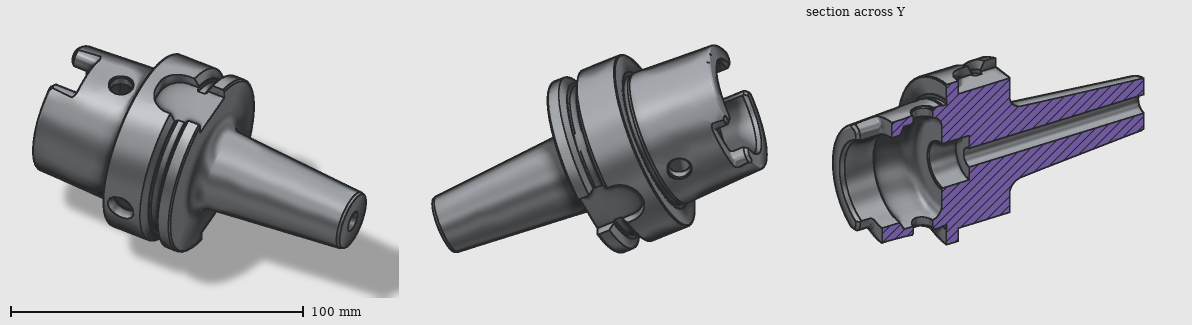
import cadquery as cq
import math


length = 111.9

nose_radius = 22.7
nose_round = 1.1
taper_end_x = 29.8
taper_end_radius = 24.1
relief_start_x = 30.8
relief_radius = 23.7
face_relief_radius = 25.2
face_relief_depth = 0.3

flange_x = 31.9
flange_end_x = 57.7
flange_radius = 63.0 / 2
flange_front_chamfer = 0.3
flange_back_chamfer = 0.6

groove_centre_x = 49.7
groove_floor_width = 3.6
groove_mouth_width = 6.9
groove_wall_depth = 2.9
groove_floor_radius = 27.4
groove_floor_fillet = 0.6

neck_root_radius = 14.4
neck_tip_radius = 10.2
neck_fillet = 5.0
tip_chamfer_length = 1.0
tip_chamfer_depth = 0.3

cavity_mouth_radius = 17.6
cavity_lead_in = 1.7
cavity_radius = 17.0
clamp_shoulder_x = 13.3
clamp_shoulder_angle = 30.0
undercut_radius = 20.0
cavity_depth = 30.1
cavity_floor_fillet = 4.4
socket_radius = 8.6
socket_depth = 11.2
socket_chamfer = 0.5
through_hole_radius = 3.6

slot_half_width = 6.2
slot_shoulder_z = 20.6
slot_shoulder_round = 3.1
slot_floor_fillet = 1.2
slot_nose_chamfer = 1.1
upper_slot_depth = 10.0
lower_slot_depth = 6.0

cross_hole_x = 22.6
cross_hole_radius = 3.8
cross_hole_chamfer = 0.5

keyway_x = 36.9
keyway_flat_z = 26.4
keyway_corner = 7.8
upper_keyway_width = 17.9
lower_keyway_width = 15.9

pocket_x = 38.8
pocket_radius = 4.9
pocket_depth = 4.6
pocket_floor_chamfer = 0.3


def turned(points):
    """Solid of revolution about X of a closed (x, radius) outline."""
    return cq.Workplane("XY").polyline(points).close().revolve(360, (0, 0, 0), (1, 0, 0))


def outer_body():
    """Hollow-taper shank, flange and neck before any cuts."""
    shank_and_flange = turned([
        (0, 0),
        (0, nose_radius),
        (taper_end_x, taper_end_radius),
        (relief_start_x, relief_radius),
        (flange_x + face_relief_depth, relief_radius),
        (flange_x + face_relief_depth, face_relief_radius),
        (flange_x, face_relief_radius),
        (flange_x, flange_radius - flange_front_chamfer),
        (flange_x + flange_front_chamfer, flange_radius),
        (flange_end_x - flange_back_chamfer, flange_radius),
        (flange_end_x, flange_radius - flange_back_chamfer),
        (flange_end_x, 0),
    ])
    return shank_and_flange.faces("<X").edges().fillet(nose_round).union(neck())


def neck():
    """Tapered neck with a concave root fillet tangent to the cone and to the flange face."""
    slope = math.atan((neck_root_radius - neck_tip_radius) / (length - flange_end_x))
    centre_x = flange_end_x + neck_fillet
    cone_radius = neck_root_radius - neck_fillet * math.tan(slope)
    centre_radius = cone_radius + neck_fillet / math.cos(slope)

    def fillet_point(angle):
        return (centre_x - neck_fillet * math.sin(angle), centre_radius - neck_fillet * math.cos(angle))

    embedded_x = flange_end_x - neck_fillet
    middle_angle = (slope + math.pi / 2) / 2
    outline = (
        cq.Workplane("XY")
        .moveTo(embedded_x, 0)
        .lineTo(embedded_x, centre_radius)
        .lineTo(flange_end_x, centre_radius)
        .threePointArc(fillet_point(middle_angle), fillet_point(slope))
        .lineTo(length - tip_chamfer_length, neck_tip_radius + tip_chamfer_length * math.tan(slope))
        .lineTo(length, neck_tip_radius - tip_chamfer_depth)
        .lineTo(length, 0)
        .close()
    )
    return outline.revolve(360, (0, 0, 0), (1, 0, 0))


def gripper_groove():
    """V-walled rim groove with short straight sides and a filleted flat floor."""
    clear_radius = flange_radius + groove_wall_depth
    half_floor = groove_floor_width / 2
    half_mouth = groove_mouth_width / 2
    wall_radius = flange_radius - groove_wall_depth
    groove = turned([
        (groove_centre_x - half_mouth, clear_radius),
        (groove_centre_x - half_mouth, flange_radius),
        (groove_centre_x - half_floor, wall_radius),
        (groove_centre_x - half_floor, groove_floor_radius),
        (groove_centre_x + half_floor, groove_floor_radius),
        (groove_centre_x + half_floor, wall_radius),
        (groove_centre_x + half_mouth, flange_radius),
        (groove_centre_x + half_mouth, clear_radius),
    ])
    return groove.edges(cq.selectors.RadiusNthSelector(0)).fillet(groove_floor_fillet)


def hollow():
    """Clamping cavity, undercut behind a sloped shoulder, then a socket and a through hole."""
    shoulder_run = (undercut_radius - cavity_radius) * math.tan(math.radians(clamp_shoulder_angle))
    cavity = turned([
        (0, 0),
        (0, cavity_mouth_radius),
        (cavity_lead_in, cavity_radius),
        (clamp_shoulder_x, cavity_radius),
        (clamp_shoulder_x + shoulder_run, undercut_radius),
        (cavity_depth, undercut_radius),
        (cavity_depth, 0),
    ])
    cavity = cavity.faces(">X").edges().fillet(cavity_floor_fillet)
    socket_end_x = cavity_depth + socket_depth
    socket = turned([
        (cavity_depth, 0),
        (cavity_depth, socket_radius + socket_chamfer),
        (cavity_depth + socket_chamfer, socket_radius),
        (socket_end_x, socket_radius),
        (socket_end_x, through_hole_radius),
        (length, through_hole_radius),
        (length, 0),
    ])
    return cavity.union(socket)


def slot_outline(offset, x):
    """Slot section at X = x, on the +Z side, with its walls and shoulders widened by offset."""
    half_width = slot_half_width + offset
    shoulder_z = slot_shoulder_z - offset
    round_radius = slot_shoulder_round - offset
    shoulder_y = half_width + round_radius
    arc_z = shoulder_z - round_radius
    diagonal = round_radius * math.sqrt(0.5)
    mid_y = shoulder_y - diagonal
    mid_z = arc_z + diagonal
    outer = nose_radius + slot_half_width
    return (
        cq.Workplane("YZ", origin=(x, 0, 0))
        .moveTo(-half_width, 0)
        .lineTo(-half_width, arc_z)
        .threePointArc((-mid_y, mid_z), (-shoulder_y, shoulder_z))
        .lineTo(-outer, shoulder_z)
        .lineTo(-outer, outer)
        .lineTo(outer, outer)
        .lineTo(outer, shoulder_z)
        .lineTo(shoulder_y, shoulder_z)
        .threePointArc((mid_y, mid_z), (half_width, arc_z))
        .lineTo(half_width, 0)
        .close()
    )


def drive_slot(depth):
    """Slot on the +Z side with a filleted floor and a chamfered mouth."""
    slot = slot_outline(0, 0).extrude(depth)
    slot = slot.faces(">X").edges().fillet(slot_floor_fillet)
    return slot.union(slot_mouth())


def slot_mouth():
    """Chamfered entry of a slot, wide at the nose face."""
    wide = slot_outline(slot_nose_chamfer, 0).wires().val()
    narrow = slot_outline(0, slot_nose_chamfer).wires().val()
    return cq.Workplane(cq.Solid.makeLoft([wide, narrow], True))


def cross_hole():
    """Hole straight through both walls of the shank, chamfered where it breaks the outside."""
    taper = (taper_end_radius - nose_radius) / taper_end_x
    wall_radius = nose_radius + taper * cross_hole_x
    mouth_radius = cross_hole_radius + cross_hole_chamfer
    mouth_sag = wall_radius - math.sqrt(wall_radius**2 - mouth_radius**2)
    chamfer_start = wall_radius - mouth_sag - cross_hole_chamfer
    half = (
        cq.Workplane("XZ")
        .polyline([
            (0, 0),
            (cross_hole_radius, 0),
            (cross_hole_radius, chamfer_start),
            (mouth_radius, chamfer_start + cross_hole_chamfer),
            (mouth_radius, flange_radius),
            (0, flange_radius),
        ])
        .close()
        .revolve(360, (0, 0, 0), (0, 1, 0))
    )
    return half.union(half.mirror("XY")).translate((cross_hole_x, 0, 0))


def keyway(width):
    """Flat cut above the +Z flat, open toward the neck, with rounded inner corners."""
    run = flange_end_x - keyway_x
    return (
        cq.Workplane("XY", origin=(keyway_x, 0, keyway_flat_z))
        .rect(2 * run, width)
        .extrude(flange_radius)
        .translate((run, 0, 0))
        .edges("|Z and <X")
        .fillet(keyway_corner)
    )


def round_pocket():
    """Radial pocket measured inward from the flange rim."""
    return (
        cq.Workplane("XZ", origin=(pocket_x, -(flange_radius - pocket_depth), 0))
        .circle(pocket_radius)
        .extrude(flange_radius)
        .faces(">Y")
        .edges()
        .chamfer(pocket_floor_chamfer)
    )


def below(cutter):
    """The same cutter on the -Z side."""
    return cutter.mirror("XY")


result = (
    outer_body()
    .cut(gripper_groove())
    .cut(hollow())
    .cut(drive_slot(upper_slot_depth))
    .cut(below(drive_slot(lower_slot_depth)))
    .cut(cross_hole())
    .cut(keyway(upper_keyway_width))
    .cut(below(keyway(lower_keyway_width)))
    .cut(round_pocket())
)